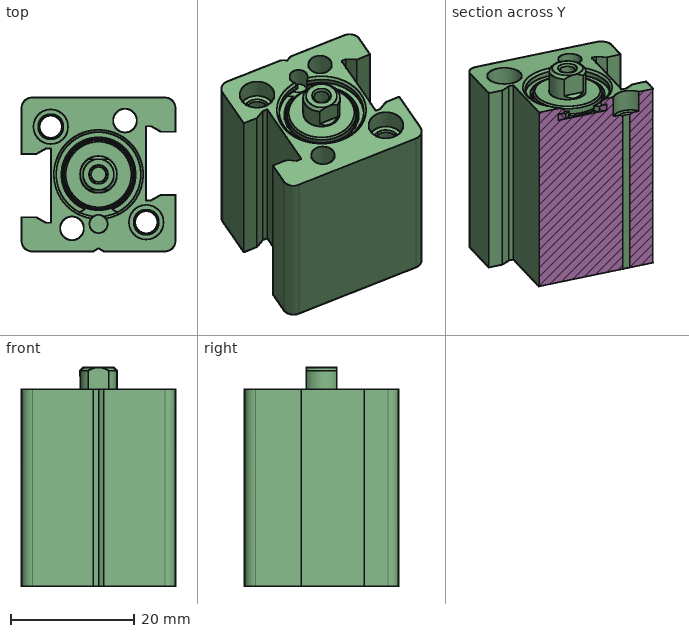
import cadquery as cq
import math

TOTAL_HEIGHT = 35.5
WIDTH = 25.0
HOUSING_HEIGHT = 32.0
CORNER_RADIUS = 1.78
HALF_WIDTH = WIDTH / 2

SLOT_FLOOR_X = 7.75
SLOT_OFFSET = 1.8
SLOT_MOUTH_WIDTH = 10.22
SLOT_FLOOR_WIDTH = 12.0
SLOT_SLOPE_OUTER_X = 10.08
SLOT_SLOPE_INNER_X = 8.52

V_WIDTH = 1.75
V_DEPTH = 0.5

COUNTERBORE_HOLE_OFFSET = 21.8
COUNTERBORE_DIAMETER = 5.6
COUNTERBORE_DEPTH = 3.55
SCREW_HOLE_DIAMETER = 3.6
SCREW_HOLE_MOUTH_DIAMETER = 4.12
PLAIN_HOLE_DIAMETER = 3.8
PLAIN_HOLE_X = 12.1
PLAIN_HOLE_Y = 24.6

RECESS_DIAMETER = 13.7
RECESS_MOUTH_DIAMETER = 14.5
RECESS_DEPTH = 2.15
RECESS_FLOOR_Z = HOUSING_HEIGHT - RECESS_DEPTH
BOSS_DIAMETER = 11.2
BOSS_CHAMFER = 0.3
BOSS_BASE_CHAMFER = 0.2
BOSS_TOP_Z = HOUSING_HEIGHT - 0.67
RELIEF_HOLE_DIAMETER = 2.95
RELIEF_HOLE_Y = -8.02
RELIEF_HOLE_DEPTH = 3.55

RING_OUTER_DIAMETER = 14.77
RING_INNER_DIAMETER = 12.07
RING_THICKNESS = 1.0
RING_TOP_Z = RECESS_FLOOR_Z + RING_THICKNESS
RING_GAP_WIDTH = 4.4
RING_GAP_ANGLE = 30.0

ROD_DIAMETER = 6.0
ROD_CHAMFER = 0.5
ROD_BOTTOM_Z = RECESS_FLOOR_Z
FLAT_SPACING = 5.0
FLAT_BOTTOM_Z = BOSS_TOP_Z + 0.67
ROD_HOLE_DIAMETER = 2.45
ROD_HOLE_MOUTH_DIAMETER = 3.1
ROD_HOLE_DEPTH = 4.97


def cylinder(diameter, bottom, top, x=0, y=0):
    return cq.Workplane("XY", origin=(x, y, bottom)).circle(diameter / 2).extrude(top - bottom)


def countersink(mouth_diameter, hole_diameter, top, x=0, y=0):
    """45 degree cone from the mouth diameter down to the hole diameter."""
    mouth_radius = mouth_diameter / 2
    hole_radius = hole_diameter / 2
    depth = mouth_radius - hole_radius
    cone = cq.Solid.makeCone(hole_radius, mouth_radius, depth, cq.Vector(x, y, top - depth))
    return cq.Workplane(cone)


def side_slot():
    """Cutter for the slot in the -X face."""
    mouth = SLOT_MOUTH_WIDTH / 2
    floor = SLOT_FLOOR_WIDTH / 2
    upper = [
        (-HALF_WIDTH, mouth),
        (-SLOT_SLOPE_OUTER_X, mouth),
        (-SLOT_SLOPE_INNER_X, floor),
        (-SLOT_FLOOR_X, floor),
    ]
    lower = [(x, -y) for x, y in reversed(upper)]
    outline = cq.Workplane("XY", origin=(0, -SLOT_OFFSET, 0)).polyline(upper + lower)
    return outline.close().extrude(HOUSING_HEIGHT)


def v_groove():
    outline = cq.Workplane("XY").polyline([
        (-V_WIDTH / 2, -HALF_WIDTH),
        (0, -HALF_WIDTH + V_DEPTH),
        (V_WIDTH / 2, -HALF_WIDTH),
    ])
    return outline.close().extrude(HOUSING_HEIGHT)


def counterbored_hole(x, y):
    shoulder_z = HOUSING_HEIGHT - COUNTERBORE_DEPTH
    counterbore = cylinder(COUNTERBORE_DIAMETER, shoulder_z, HOUSING_HEIGHT, x, y)
    through = cylinder(SCREW_HOLE_DIAMETER, 0, HOUSING_HEIGHT, x, y)
    mouth = countersink(SCREW_HOLE_MOUTH_DIAMETER, SCREW_HOLE_DIAMETER, shoulder_z, x, y)
    return counterbore.union(through).union(mouth)


def top_recess():
    """Cutter that sinks the recess and ring groove and leaves the chamfered boss standing."""
    bore = cylinder(RECESS_DIAMETER, RECESS_FLOOR_Z, HOUSING_HEIGHT)
    mouth = countersink(RECESS_MOUTH_DIAMETER, RECESS_DIAMETER, HOUSING_HEIGHT)
    boss = cylinder(BOSS_DIAMETER, RECESS_FLOOR_Z, BOSS_TOP_Z).faces(">Z").chamfer(BOSS_CHAMFER)
    groove = cylinder(RING_OUTER_DIAMETER, RECESS_FLOOR_Z, RING_TOP_Z)
    base_diameter = BOSS_DIAMETER + 2 * BOSS_BASE_CHAMFER
    boss_base = cq.Workplane(cq.Solid.makeCone(
        base_diameter / 2, BOSS_DIAMETER / 2, BOSS_BASE_CHAMFER, cq.Vector(0, 0, RECESS_FLOOR_Z)
    ))
    return bore.union(mouth).union(groove).cut(boss).cut(boss_base)


def make_housing():
    housing = (
        cq.Workplane("XY")
        .rect(WIDTH, WIDTH)
        .extrude(HOUSING_HEIGHT)
        .edges("|Z")
        .fillet(CORNER_RADIUS)
    )
    for sign, turn in ((0.35, 0), (-0.35, 180)):
        housing = housing.cut(side_slot().rotate((0, 0, 0), (0, 0, 1), turn))
        housing = housing.cut(
            counterbored_hole(-sign * COUNTERBORE_HOLE_OFFSET, sign * COUNTERBORE_HOLE_OFFSET)
        )
        housing = housing.cut(
            cylinder(PLAIN_HOLE_DIAMETER, 0, HOUSING_HEIGHT, sign * PLAIN_HOLE_X, sign * PLAIN_HOLE_Y)
        )
    housing = housing.cut(v_groove()).cut(top_recess())
    relief_bottom = HOUSING_HEIGHT - RELIEF_HOLE_DEPTH
    relief_hole = cylinder(RELIEF_HOLE_DIAMETER, relief_bottom, HOUSING_HEIGHT, 0, RELIEF_HOLE_Y)
    rod_socket = cylinder(ROD_DIAMETER, ROD_BOTTOM_Z, BOSS_TOP_Z)
    return housing.cut(relief_hole).cut(rod_socket)


def make_retaining_ring():
    """Flat ring, open toward -Y, whose gap widens outward."""
    ring = cylinder(RING_OUTER_DIAMETER, RECESS_FLOOR_Z, RING_TOP_Z).cut(
        cylinder(RING_INNER_DIAMETER, RECESS_FLOOR_Z, RING_TOP_Z)
    )
    inner_x = RING_GAP_WIDTH / 2
    inner_y = -math.sqrt((RING_INNER_DIAMETER / 2) ** 2 - inner_x ** 2)
    outer_y = -RING_OUTER_DIAMETER / 2
    outer_x = inner_x + (inner_y - outer_y) / math.tan(math.radians(RING_GAP_ANGLE))
    gap = (
        cq.Workplane("XY", origin=(0, 0, RECESS_FLOOR_Z))
        .polyline([
            (-inner_x, 0),
            (-inner_x, inner_y),
            (-outer_x, outer_y),
            (outer_x, outer_y),
            (inner_x, inner_y),
            (inner_x, 0),
        ])
        .close()
        .extrude(RING_THICKNESS)
    )
    return ring.cut(gap)


def rod_flat():
    """Cutter for the -Y flat, whose lower end slopes out at 45 degrees."""
    flat_y = -FLAT_SPACING / 2
    outer_y = -ROD_DIAMETER / 2
    profile = cq.Workplane("YZ").polyline([
        (flat_y, TOTAL_HEIGHT),
        (flat_y, FLAT_BOTTOM_Z),
        (outer_y, FLAT_BOTTOM_Z - (flat_y - outer_y)),
        (outer_y, TOTAL_HEIGHT),
    ])
    return profile.close().extrude(ROD_DIAMETER / 2, both=True)


def make_rod():
    rod = cylinder(ROD_DIAMETER, ROD_BOTTOM_Z, TOTAL_HEIGHT).faces(">Z").chamfer(ROD_CHAMFER)
    hole = cylinder(ROD_HOLE_DIAMETER, TOTAL_HEIGHT - ROD_HOLE_DEPTH, TOTAL_HEIGHT)
    mouth = countersink(ROD_HOLE_MOUTH_DIAMETER, ROD_HOLE_DIAMETER, TOTAL_HEIGHT)
    for turn in (0, 180):
        rod = rod.cut(rod_flat().rotate((0, 0, 0), (0, 0, 1), turn))
    return rod.cut(hole).cut(mouth)


housing = make_housing()
retaining_ring = make_retaining_ring()
rod = make_rod()

result = cq.Compound.makeCompound([housing.val(), retaining_ring.val(), rod.val()])